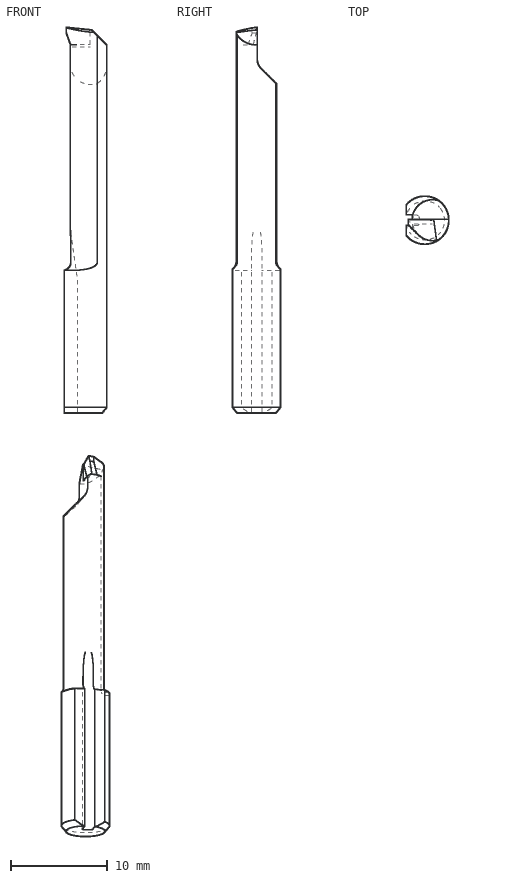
import cadquery as cq
import math

total_length = 40.0
shank_radius = 2.5
shank_flat_x = -1.94
shank_length = 14.8
chamfer_height = 0.6
chamfer_width = 0.5

neck_radius = 2.1
neck_center_x = 0.8
neck_left_x = neck_center_x - neck_radius
shoulder_fillet = 0.85

groove_half_width = 0.54
groove_corner = 0.25
groove_floor_x = -0.6
groove_ramp_start = 14.0
groove_ramp_end = 19.1

rake_face_y = 0.1
relief_end_z = 34.1
relief_arc_radius = 1.5

tip_x = -1.7
tip_width = 0.55
tip_land = 0.6
tip_bottom_z = 38.15
tip_bottom_x = -1.3
flank_end_x = -0.7
flank_end_y = -math.sqrt(neck_radius**2 - (flank_end_x - neck_center_x) ** 2)
top_slope_x = 0.1
top_slope_y = 0.12
back_bevel = 1.55
back_bevel_bottom_z = 38.15

chip_depth = 0.45
chip_low_z = 37.95
chip_deep_z = 38.25
chip_end_x = 0.7

margin = 4.0


def make_shank():
    """Round bar with a bottom chamfer and a flat on the -X side."""
    profile = [
        (0, 0),
        (shank_radius - chamfer_width, 0),
        (shank_radius, chamfer_height),
        (shank_radius, total_length),
        (0, total_length),
    ]
    bar = cq.Workplane("XZ").polyline(profile).close().revolve(360, (0, 0), (0, 1))
    flat_keep = cq.Workplane("XY").box(
        2 * margin, 4 * margin, total_length, centered=(False, True, False)
    ).translate((shank_flat_x, 0, 0))
    return bar.intersect(flat_keep)


def cut_neck(body):
    """Remove everything outside the neck, leaving a filleted shoulder."""
    arc_mid = shoulder_fillet * (1 - math.sqrt(0.5))
    cutter = (
        cq.Workplane("XZ", origin=(neck_center_x, 0, 0))
        .moveTo(neck_radius, total_length + margin)
        .lineTo(neck_radius, shank_length + shoulder_fillet)
        .threePointArc(
            (neck_radius + arc_mid, shank_length + arc_mid),
            (neck_radius + shoulder_fillet, shank_length),
        )
        .lineTo(neck_radius + margin, shank_length)
        .lineTo(neck_radius + margin, total_length + margin)
        .close()
        .revolve(360, (0, 0), (0, 1))
    )
    return body.cut(cutter)


def make_groove():
    """Round-cornered groove whose floor ramps up to the neck surface."""
    ramp_slope = (neck_left_x - groove_floor_x) / (groove_ramp_end - groove_ramp_start)
    ramp_top_z = groove_ramp_start + (shank_flat_x - margin - groove_floor_x) / ramp_slope
    return (
        cq.Workplane("XZ")
        .polyline([
            (shank_flat_x - margin, -margin),
            (groove_floor_x, -margin),
            (groove_floor_x, groove_ramp_start),
            (shank_flat_x - margin, ramp_top_z),
        ])
        .close()
        .extrude(groove_half_width, both=True)
        .edges("not |Y")
        .fillet(groove_corner)
    )


def make_tip():
    """Cutting tip beside the neck, with an angled flank and an undercut front."""
    plan = [
        (tip_x, rake_face_y),
        (tip_x, rake_face_y - tip_width),
        (flank_end_x, flank_end_y),
        (neck_center_x, flank_end_y),
        (neck_center_x, rake_face_y),
    ]
    tip = (
        cq.Workplane("XY", origin=(0, 0, tip_bottom_z))
        .polyline(plan)
        .close()
        .extrude(total_length + margin - tip_bottom_z)
    )
    undercut = (
        cq.Workplane("XZ")
        .polyline([
            (tip_x, total_length - tip_land),
            (tip_bottom_x, tip_bottom_z),
            (tip_x, tip_bottom_z),
        ])
        .close()
        .extrude(margin, both=True)
    )
    return tip.cut(undercut)


def make_flank_cut():
    """Stock of the neck standing in front of the tip flank."""
    return (
        cq.Workplane("XY", origin=(0, 0, tip_bottom_z))
        .polyline([
            (tip_x, rake_face_y - tip_width),
            (flank_end_x, flank_end_y),
            (tip_x, flank_end_y),
        ])
        .close()
        .extrude(margin)
    )


def make_relief():
    """Clearance above the rake face, blending by an arc into a 45 degree run-out."""
    sin45 = math.sqrt(0.5)
    arc_end_y = rake_face_y + relief_arc_radius * (1 - sin45)
    arc_end_z = relief_end_z + neck_radius - arc_end_y
    arc_start_z = arc_end_z + relief_arc_radius * sin45
    half_angle = math.radians(22.5)
    arc_mid = (
        rake_face_y + relief_arc_radius * (1 - math.cos(half_angle)),
        arc_start_z - relief_arc_radius * math.sin(half_angle),
    )
    return (
        cq.Workplane("YZ")
        .moveTo(rake_face_y, total_length + margin)
        .lineTo(rake_face_y, arc_start_z)
        .threePointArc(arc_mid, (arc_end_y, arc_end_z))
        .lineTo(neck_radius + margin, relief_end_z - margin)
        .lineTo(neck_radius + margin, total_length + margin)
        .close()
        .extrude(2 * margin, both=True)
    )


def make_top_cut():
    """Half-space above the end face, which falls away from the tip corner."""
    end_plane = cq.Plane(
        origin=(tip_x, rake_face_y, total_length),
        xDir=(1, 0, -top_slope_x),
        normal=(top_slope_x, -top_slope_y, 1),
    )
    return cq.Workplane(end_plane).rect(6 * margin, 6 * margin).extrude(2 * margin)


def make_back_bevel():
    """45 degree bevel on the +X side of the head."""
    return (
        cq.Workplane("XZ")
        .polyline([
            (shank_radius, back_bevel_bottom_z),
            (shank_radius - 2 * back_bevel, back_bevel_bottom_z + 2 * back_bevel),
            (shank_radius + margin, back_bevel_bottom_z + 2 * back_bevel),
            (shank_radius + margin, back_bevel_bottom_z),
        ])
        .close()
        .extrude(margin, both=True)
    )


def make_chip_groove():
    """Three-cornered chip groove sunk in the rake face behind the cutting edge."""
    return (
        cq.Workplane("YZ", origin=(chip_end_x, 0, 0))
        .polyline([
            (rake_face_y, total_length),
            (rake_face_y - chip_depth, chip_deep_z),
            (rake_face_y, chip_low_z),
        ])
        .close()
        .extrude(-margin)
    )


result = cut_neck(make_shank())
result = result.cut(make_groove())
result = result.cut(make_relief())
result = result.union(make_tip())
result = result.cut(make_flank_cut())
result = result.cut(make_top_cut())
result = result.cut(make_back_bevel())
result = result.cut(make_chip_groove())